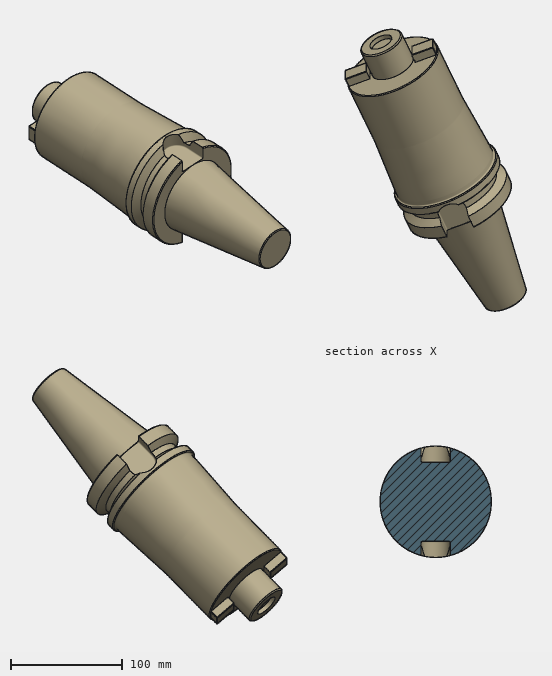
import cadquery as cq
import math

total_length = 288.8
pilot_length = 27.1
barrel_end = 87.2
neck_end = 144.5
collar_start = 148.7
groove_start = 156.2
groove_end = 171.3
flange_end = 184.0

pilot_diameter = 40.0
bore_diameter = 21.0
barrel_diameter = 88.0
neck_diameter = 94.5
flange_diameter = 100.0
groove_diameter = 84.5
taper_diameter = 70.8

bore_depth = 4.3
taper_per_length = 7 / 24
edge_chamfer = 1.0
collar_fillet = 1.0
pilot_chamfer = 1.2
key_chamfer = 0.5
neck_blend = 0.5

groove_half_angle = 30.0
groove_lip_width = 1.0
groove_lip_depth = 1.5

key_width = 16.0
key_height = 8.5
key_inner = 22.0
key_outer = 42.7

slot_width = 26.0
slot_tip = 152.0
slot_floor = 35.5
slot_floor_fillet = 1.2


def revolved_body():
    """Pilot, barrel, conical neck, grooved flange and steep taper turned about X."""
    pilot_r = pilot_diameter / 2
    barrel_r = barrel_diameter / 2
    neck_r = neck_diameter / 2
    flange_r = flange_diameter / 2
    groove_r = groove_diameter / 2
    taper_r = taper_diameter / 2
    tail_slope = taper_per_length / 2
    tail_r = taper_r - (total_length - edge_chamfer - flange_end) * tail_slope

    neck_angle = math.atan2(neck_r - barrel_r, neck_end - barrel_end)
    blend_end = (
        barrel_end + neck_blend * math.cos(neck_angle),
        barrel_r + neck_blend * math.sin(neck_angle),
    )

    lip_r = flange_r - groove_lip_depth
    wall_run = (lip_r - groove_r) * math.tan(math.radians(groove_half_angle))
    front_wall = groove_start + groove_lip_width
    rear_wall = groove_end - groove_lip_width

    return (
        cq.Workplane("XY")
        .moveTo(0, 0)
        .lineTo(0, pilot_r - pilot_chamfer)
        .lineTo(pilot_chamfer, pilot_r)
        .lineTo(pilot_length, pilot_r)
        .lineTo(pilot_length, barrel_r - edge_chamfer)
        .lineTo(pilot_length + edge_chamfer, barrel_r)
        .lineTo(barrel_end - neck_blend, barrel_r)
        .tangentArcPoint(blend_end, relative=False)
        .lineTo(neck_end, neck_r)
        .lineTo(collar_start - collar_fillet, neck_r)
        .tangentArcPoint((collar_start, neck_r + collar_fillet), relative=False)
        .lineTo(collar_start, flange_r - edge_chamfer)
        .lineTo(collar_start + edge_chamfer, flange_r)
        .lineTo(groove_start, flange_r)
        .lineTo(front_wall, lip_r)
        .lineTo(front_wall + wall_run, groove_r)
        .lineTo(rear_wall - wall_run, groove_r)
        .lineTo(rear_wall, lip_r)
        .lineTo(groove_end, flange_r)
        .lineTo(flange_end - edge_chamfer, flange_r)
        .lineTo(flange_end, flange_r - edge_chamfer)
        .lineTo(flange_end, taper_r)
        .lineTo(total_length - edge_chamfer, tail_r)
        .lineTo(total_length, tail_r - edge_chamfer)
        .lineTo(total_length, 0)
        .close()
        .revolve(360, (0, 0, 0), (1, 0, 0))
    )


def pilot_bore():
    """Shallow round recess in the pilot face."""
    return cq.Workplane("YZ").circle(bore_diameter / 2).extrude(bore_depth)


def driving_key(side):
    """Rectangular key standing on the barrel face; side is +1 or -1 along Y."""
    outer_face = ">Y" if side > 0 else "<Y"
    return (
        cq.Workplane("YZ", origin=(pilot_length - key_height, 0, 0))
        .center(side * (key_inner + key_outer) / 2, 0)
        .rect(key_outer - key_inner, key_width)
        .extrude(key_height)
        .faces("<X or " + outer_face)
        .edges("not >X")
        .chamfer(key_chamfer)
    )


def drive_slot(side):
    """Flat-floored slot with a round front end; side is +1 or -1 along Z."""
    half_width = slot_width / 2
    round_centre = slot_tip + half_width
    floor_face = "<Z" if side > 0 else ">Z"
    return (
        cq.Workplane("XY", origin=(0, 0, side * slot_floor))
        .moveTo(flange_end, half_width)
        .lineTo(round_centre, half_width)
        .threePointArc((slot_tip, 0), (round_centre, -half_width))
        .lineTo(flange_end, -half_width)
        .close()
        .extrude(side * flange_diameter / 2)
        .faces(floor_face)
        .edges("not >X")
        .fillet(slot_floor_fillet)
    )


result = revolved_body().cut(pilot_bore())
for side in (1, -1):
    result = result.union(driving_key(side)).cut(drive_slot(side))